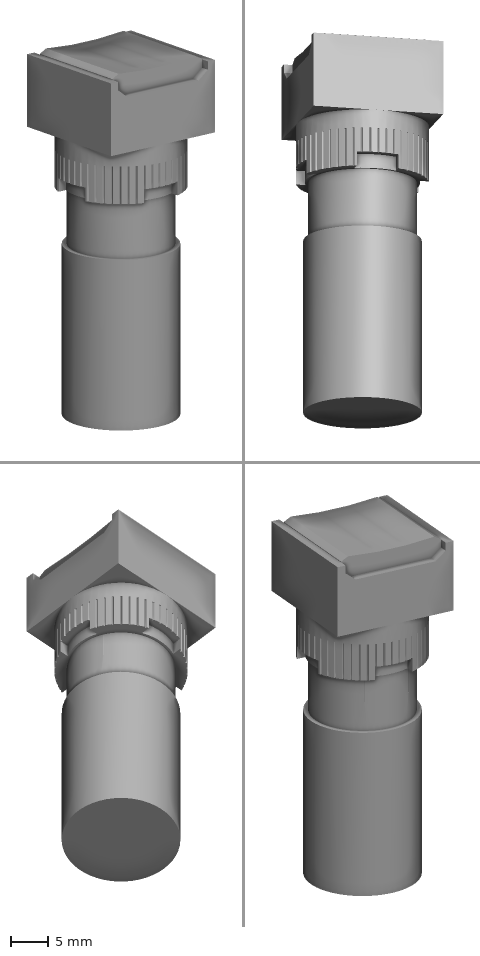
import cadquery as cq
import math

total_height = 50.8
head_width = 18.0

barrel_top = 24.0
latch_bottom = 28.2
ring_bottom = 32.1
notch_top = 34.05
flute_top = 37.4
head_bottom = 39.95
head_top = 50.15

barrel_diameter = 16.0
neck_diameter = 14.7
skirt_diameter = 15.55

flute_count = 50
flute_width = 0.3
flute_depth = 0.2
notch_width = 5.8

button_width = 15.55
trough_floor = 47.75
trough_floor_width = 12.4
trough_wall_bottom = 48.95
bevel_bottom = 50.25
crown_width = 13.4
crown_dish = 0.35

latch_width = 6.9
latch_flush_width = 6.7
latch_edge_radius = 5.1


def cylinder(diameter, bottom, top):
    """Vertical cylinder on the part axis between two heights."""
    return cq.Workplane("XY").workplane(offset=bottom).circle(diameter / 2).extrude(top - bottom)


def slab(length_x, length_y, bottom, top):
    """Box centred on the part axis between two heights."""
    return cq.Workplane("XY").workplane(offset=bottom).rect(length_x, length_y).extrude(top - bottom)


def trough():
    """Channel along X through the head, with sloped lower corners."""
    half_top = button_width / 2
    half_floor = trough_floor_width / 2
    return (
        cq.Workplane("YZ")
        .moveTo(-half_top, total_height)
        .lineTo(-half_top, trough_wall_bottom)
        .lineTo(-half_floor, trough_floor)
        .lineTo(half_floor, trough_floor)
        .lineTo(half_top, trough_wall_bottom)
        .lineTo(half_top, total_height)
        .close()
        .extrude(head_width / 2, both=True)
    )


def button():
    """Push button that fills the trough, with bevelled edges and a dished crown."""
    half_width = button_width / 2
    half_crown = crown_width / 2
    return (
        cq.Workplane("YZ")
        .moveTo(-half_width, trough_floor)
        .lineTo(half_width, trough_floor)
        .lineTo(half_width, bevel_bottom)
        .lineTo(half_crown, total_height)
        .threePointArc((0, total_height - crown_dish), (-half_crown, total_height))
        .lineTo(-half_width, bevel_bottom)
        .close()
        .extrude(button_width / 2, both=True)
    )


def flutes():
    """V-shaped grooves, evenly spaced around the ring, starting on the -Y side."""
    ring_radius = head_width / 2
    outer_radius = ring_radius + flute_depth
    groove = (
        cq.Workplane("XY")
        .workplane(offset=ring_bottom)
        .moveTo(0, flute_depth - ring_radius)
        .lineTo(flute_width, -outer_radius)
        .lineTo(-flute_width, -outer_radius)
        .close()
        .extrude(flute_top - ring_bottom)
        .val()
    )
    axis_start = cq.Vector(0, 0, 0)
    axis_end = cq.Vector(0, 0, 1)
    step = 360 / flute_count
    grooves = [groove.rotate(axis_start, axis_end, index * step) for index in range(flute_count)]
    return cq.Workplane("XY").newObject([cq.Compound.makeCompound(grooves)])


def fluted_ring():
    """Ring with flutes and four notches that expose an inner skirt."""
    ring = cylinder(head_width, ring_bottom, head_bottom).cut(flutes())
    for length_x, length_y in ((head_width, notch_width), (notch_width, head_width)):
        ring = ring.cut(slab(length_x, length_y, ring_bottom, notch_top))
    return ring.union(cylinder(skirt_diameter, ring_bottom, notch_top))


def latch_relief():
    """Slivers that round off both upright edges of the latch tongue.

    They lie outside a tighter arc that crosses the neck surface at the ends of the flush width.
    """
    neck_radius = neck_diameter / 2
    half_flush = latch_flush_width / 2
    height = ring_bottom - latch_bottom
    crossing_x = math.sqrt(neck_radius**2 - half_flush**2)
    arc_offset = crossing_x - math.sqrt(latch_edge_radius**2 - half_flush**2)
    plane = cq.Workplane("XY").workplane(offset=latch_bottom)
    blank_centre = -(arc_offset + neck_radius) / 2
    blank = plane.center(blank_centre, 0).rect(neck_radius - arc_offset, latch_width).extrude(height)
    core = plane.center(-arc_offset, 0).circle(latch_edge_radius).extrude(height)
    return blank.cut(core)


head = slab(head_width, head_width, head_bottom, head_top).cut(trough()).union(button())
neck = cylinder(neck_diameter, barrel_top, ring_bottom).cut(latch_relief())
barrel = cylinder(barrel_diameter, 0, barrel_top)

result = barrel.union(neck).union(fluted_ring()).union(head)